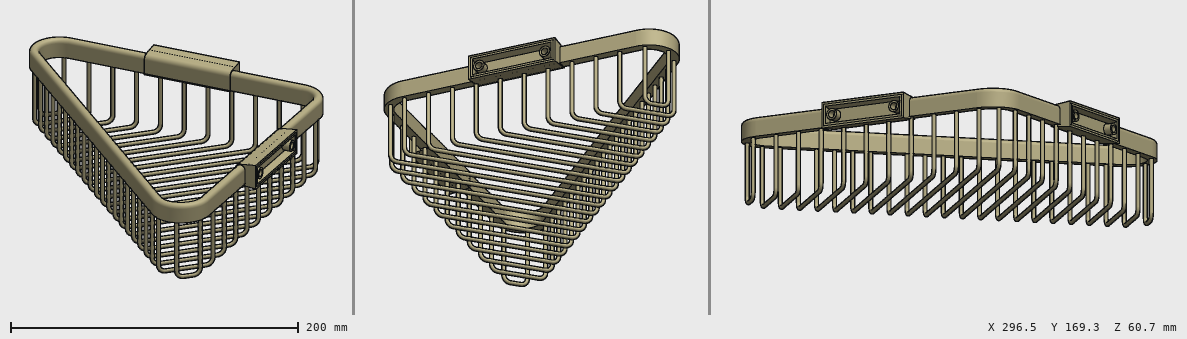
import cadquery as cq
import math

overall_width = 296.5
corner_radius = 21.0
corner_span = overall_width / 2 - corner_radius

bar_width = 6.8
bar_height = 14.0
bar_path_radius = corner_radius - bar_width / 2

wire_count = 23
wire_pitch = 12.95
wire_diameter = 3.0
wire_bend_radius = 5.0
wire_drop = 44.8
wire_embed = 3.0

housing_length = 66.0
housing_shift = 1.8
housing_back = 29.4
housing_shell = 0.5
housing_rise = 1.93
housing_sink = 2.5
housing_top = bar_height + housing_rise
housing_bottom = -housing_sink

insert_margin = 1.5
insert_depth = 6.5
tray_rim = 1.5
tray_depth = 5.5
tray_slope = 1.5
boss_diameter = 8.0
boss_hole_diameter = 5.0
boss_spacing = 50.5

housing_middle_z = (housing_top + housing_bottom) / 2
insert_length = housing_length - 2 * insert_margin
insert_height = housing_top - housing_bottom - 2 * insert_margin


def diagonal_point(x, y, radius):
    """The point at the given radius from (x, y), straight out from the left slanted side."""
    step = radius * math.sqrt(0.5)
    return (x - step, y + step)


def make_frame():
    r = bar_path_radius
    left_x, left_y = diagonal_point(-corner_span, 0, r)
    apex_x, apex_y = diagonal_point(0, corner_span, r)
    side_swing = r * math.sin(math.pi / 8)
    front_swing = r * math.cos(math.pi / 8)
    path = (
        cq.Workplane("XY")
        .moveTo(0, -r)
        .lineTo(corner_span, -r)
        .threePointArc((corner_span + front_swing, -side_swing), (-left_x, left_y))
        .lineTo(-apex_x, apex_y)
        .threePointArc((0, corner_span + r), (apex_x, apex_y))
        .lineTo(left_x, left_y)
        .threePointArc((-corner_span - front_swing, -side_swing), (-corner_span, -r))
        .close()
    )
    half = bar_width / 2
    profile = (
        cq.Workplane("YZ", origin=(0, -r, 0))
        .moveTo(-half, 0)
        .lineTo(half, 0)
        .lineTo(half, bar_height - half)
        .threePointArc((0, bar_height), (-half, bar_height - half))
        .close()
    )
    return profile.sweep(path)


def front_leg_y(x):
    """Y of the frame centre line on the front side at the given X."""
    overrun = max(abs(x) - corner_span, 0)
    return -math.sqrt(bar_path_radius**2 - overrun**2)


def back_leg_y(x):
    """Y of the frame centre line on the slanted sides at the given X."""
    r = bar_path_radius
    tangent = r * math.sqrt(0.5)
    if abs(x) < tangent:
        return corner_span + math.sqrt(r**2 - x**2)
    if abs(x) > corner_span + tangent:
        return math.sqrt(r**2 - (abs(x) - corner_span) ** 2)
    return corner_span - abs(x) + r * math.sqrt(2)


def make_wire(x):
    front = front_leg_y(x)
    back = back_leg_y(x)
    floor = wire_diameter / 2 - wire_drop
    bend = wire_bend_radius
    bend_mid = bend * (1 - math.sqrt(0.5))
    path = (
        cq.Workplane("YZ", origin=(x, 0, 0))
        .moveTo(front, wire_embed)
        .lineTo(front, floor + bend)
        .threePointArc((front + bend_mid, floor + bend_mid), (front + bend, floor))
        .lineTo(back - bend, floor)
        .threePointArc((back - bend_mid, floor + bend_mid), (back, floor + bend))
        .lineTo(back, wire_embed)
    )
    section = cq.Workplane("XY", origin=(x, front, wire_embed)).circle(wire_diameter / 2)
    return section.sweep(path)


def make_basket():
    basket = make_frame()
    for i in range(wire_count):
        x = (i - (wire_count - 1) / 2) * wire_pitch
        basket = basket.union(make_wire(x))
    return basket


def side_plane(outward):
    """Plane facing out from the left slanted side, `outward` from the line of arc centres.

    Its X axis runs along the side towards the lower left corner and its Y axis points up.
    """
    along = corner_span * math.sqrt(0.5) + housing_shift
    x = -corner_span + along * math.sqrt(0.5)
    origin_x, origin_y = diagonal_point(x, along * math.sqrt(0.5), outward)
    return cq.Plane(origin=(origin_x, origin_y, housing_middle_z), xDir=(-1, -1, 0), normal=(-1, 1, 0))


def make_insert():
    """Tray with sloped long walls and two drilled bosses, beside the left slanted side."""
    back = cq.Workplane(side_plane(housing_back))
    opening_length = insert_length - 2 * tray_rim
    opening_height = insert_height - 2 * tray_rim
    half_opening = opening_height / 2
    half_floor = half_opening - tray_slope
    tray = back.rect(insert_length, insert_height).extrude(-insert_depth)
    pocket = (
        back.transformed(rotate=(0, 90, 0), offset=(-opening_length / 2, 0, 0))
        .polyline(
            [(0, half_opening), (0, -half_opening), (tray_depth, -half_floor), (tray_depth, half_floor)]
        )
        .close()
        .extrude(opening_length)
    )
    boss_points = [(-boss_spacing / 2, 0), (boss_spacing / 2, 0)]
    bosses = back.pushPoints(boss_points).circle(boss_diameter / 2).extrude(-insert_depth)
    holes = back.pushPoints(boss_points).circle(boss_hole_diameter / 2).extrude(-insert_depth)
    return tray.cut(pocket).union(bosses).cut(holes)


def make_housing(basket):
    """Tapered block that follows the frame bar at its front, beside the left slanted side."""
    bar_middle = bar_path_radius
    nose_radius = bar_width / 2 + housing_shell
    front = bar_middle - nose_radius
    nose_z = bar_height - bar_width / 2 - housing_middle_z
    nose_step = nose_radius * math.sqrt(0.5)
    half_height = (housing_top - housing_bottom) / 2
    profile_plane = cq.Workplane(side_plane(0)).transformed(
        rotate=(0, -90, 0), offset=(housing_length / 2, 0, 0)
    )
    block = (
        profile_plane.moveTo(housing_back, -half_height)
        .lineTo(housing_back, half_height)
        .lineTo(bar_middle, nose_z + nose_radius)
        .threePointArc((bar_middle - nose_step, nose_z + nose_step), (front, nose_z))
        .lineTo(front, -housing_shell - housing_middle_z)
        .close()
        .extrude(housing_length)
    )
    recess = (
        cq.Workplane(side_plane(housing_back)).rect(insert_length, insert_height).extrude(-insert_depth)
    )
    return block.cut(recess).cut(basket)


basket = make_basket()
left_housing = make_housing(basket)
left_insert = make_insert()

bodies = [basket.solids().val()]
for body in (left_housing, left_insert):
    bodies.append(body.solids().val())
    bodies.append(body.mirror("YZ").solids().val())

result = cq.Compound.makeCompound(bodies)